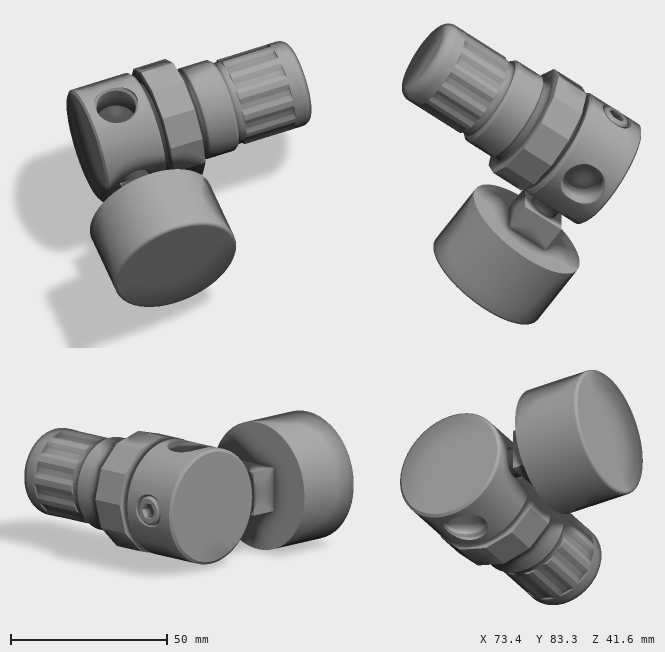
import cadquery as cq
import math


CUTTER_CLEARANCE = 0.8

HOUSING_RADIUS = 18.8
HOUSING_BOTTOM = -10.2
HOUSING_TOP = 10.3
HOUSING_CHAMFER_RADIAL = 0.9
BOTTOM_CHAMFER_LENGTH = 0.7
TOP_CHAMFER_LENGTH = 1.0
NECK_RADIUS = 14.7

FLOW_PORT_RADIUS = 6.3
FLOW_PORT_MOUTH_RADIUS = 7.1
FLOW_PORT_SEAT_TOP = 17.75
SIDE_PORT_RADIUS = 4.7
SIDE_PORT_MOUTH_RADIUS = 5.6
SIDE_PORT_SEAT_TOP = 18.3
PORT_SEAT_LENGTH = 0.8
PORT_DEPTH = 10.0
PORT_FLOOR = HOUSING_RADIUS - PORT_DEPTH

PLUG_CHAMFER = 0.7
PLUG_HEX_SIDES = 6
PLUG_HEX_FLATS = 4.8
PLUG_HEX_DEPTH = 3.3

NUT_SIDES = 12
NUT_CORNER_RADIUS = 19.4
NUT_BOTTOM = 12.3
NUT_TOP = 23.25

COLLAR_RADIUS = 15.2
COLLAR_CHAMFER_RADIAL = 0.8
COLLAR_TOP_CHAMFER_LENGTH = 1.0
COLLAR_BOTTOM_CHAMFER_LENGTH = 0.7
WAIST_RADIUS = 14.25
WAIST_FILLET = 1.25
COLLAR_BOTTOM = 25.7
COLLAR_TOP = 36.6
SPIGOT_RADIUS = 13.6

KNOB_RADIUS = 14.2
KNOB_BOTTOM = 39.2
KNOB_TOP = 62.5
KNOB_ROUNDING = 3.25
GRIP_COUNT = 12
GRIP_TOP = 56.1
GRIP_FLOOR_RADIUS = 13.4
GRIP_FLOOR_HALF_WIDTH = 0.9
GRIP_HALF_ANGLE = 11.0

GAUGE_RADIUS = 20.8
GAUGE_BACK = 31.1
GAUGE_FACE = 54.0
GAUGE_ROUNDING = 1.0
WRENCH_SQUARE = 14.2
WRENCH_START = 21.9


def revolve_about_y(half_profile):
    """Solid of revolution about Y from (radius, y) points; the axis closes the outline."""
    return cq.Workplane("XY").polyline(half_profile).close().revolve(360, (0, 0, 0), (0, 1, 0))


def port_cutter(radius, mouth_radius, seat_top):
    """Blind round port along +Z: straight mouth, conical seat, then the bore."""
    cutter_top = HOUSING_RADIUS + CUTTER_CLEARANCE
    half_profile = [
        (0, PORT_FLOOR),
        (radius, PORT_FLOOR),
        (radius, seat_top - PORT_SEAT_LENGTH),
        (mouth_radius, seat_top),
        (mouth_radius, cutter_top),
        (0, cutter_top),
    ]
    return revolve_about_y(half_profile).rotate((0, 0, 0), (1, 0, 0), 90)


def make_housing():
    chamfered_radius = HOUSING_RADIUS - HOUSING_CHAMFER_RADIAL
    housing = revolve_about_y([
        (0, HOUSING_BOTTOM),
        (chamfered_radius, HOUSING_BOTTOM),
        (HOUSING_RADIUS, HOUSING_BOTTOM + BOTTOM_CHAMFER_LENGTH),
        (HOUSING_RADIUS, HOUSING_TOP - TOP_CHAMFER_LENGTH),
        (chamfered_radius, HOUSING_TOP),
        (NECK_RADIUS, HOUSING_TOP),
        (NECK_RADIUS, NUT_TOP),
        (0, NUT_TOP),
    ])
    flow_port = port_cutter(FLOW_PORT_RADIUS, FLOW_PORT_MOUTH_RADIUS, FLOW_PORT_SEAT_TOP)
    side_port = port_cutter(SIDE_PORT_RADIUS, SIDE_PORT_MOUTH_RADIUS, SIDE_PORT_SEAT_TOP)
    for tilt in (0, 180):
        housing = housing.cut(flow_port.rotate((0, 0, 0), (0, 1, 0), tilt))
    for tilt in (90, 270):
        housing = housing.cut(side_port.rotate((0, 0, 0), (0, 1, 0), tilt))
    return housing


def make_plug():
    """Threaded plug with a hexagon socket, filling the -X side port."""
    outer_face = -HOUSING_RADIUS
    length = -PORT_FLOOR - outer_face
    hex_corners = PLUG_HEX_FLATS / math.cos(math.pi / PLUG_HEX_SIDES)
    face_plane = cq.Workplane("YZ", origin=(outer_face, 0, 0))
    plug = face_plane.circle(SIDE_PORT_RADIUS).extrude(length)
    plug = plug.faces("<X").chamfer(PLUG_CHAMFER)
    socket = face_plane.polygon(PLUG_HEX_SIDES, hex_corners).extrude(PLUG_HEX_DEPTH)
    return plug.cut(socket)


def make_nut():
    return (
        cq.Workplane("XZ", origin=(0, NUT_TOP, 0))
        .polygon(NUT_SIDES, 2 * NUT_CORNER_RADIUS)
        .circle(NECK_RADIUS)
        .extrude(NUT_TOP - NUT_BOTTOM)
    )


def make_bonnet():
    """Collar whose waist widens downward in a concave quarter arc that ends on the nut."""
    foot_radius = WAIST_RADIUS + WAIST_FILLET
    arc_top = NUT_TOP + WAIST_FILLET
    arc_middle = (
        foot_radius - WAIST_FILLET * math.cos(math.pi / 4),
        arc_top - WAIST_FILLET * math.sin(math.pi / 4),
    )
    return (
        cq.Workplane("XY")
        .moveTo(0, NUT_TOP)
        .lineTo(foot_radius, NUT_TOP)
        .threePointArc(arc_middle, (WAIST_RADIUS, arc_top))
        .lineTo(WAIST_RADIUS, COLLAR_BOTTOM)
        .lineTo(COLLAR_RADIUS, COLLAR_BOTTOM + COLLAR_BOTTOM_CHAMFER_LENGTH)
        .lineTo(COLLAR_RADIUS, COLLAR_TOP - COLLAR_TOP_CHAMFER_LENGTH)
        .lineTo(COLLAR_RADIUS - COLLAR_CHAMFER_RADIAL, COLLAR_TOP)
        .lineTo(SPIGOT_RADIUS, COLLAR_TOP)
        .lineTo(SPIGOT_RADIUS, KNOB_BOTTOM)
        .lineTo(0, KNOB_BOTTOM)
        .close()
        .revolve(360, (0, 0, 0), (0, 1, 0))
    )


def grip_groove():
    """Flared groove centred on +X, running from the knob's lower edge up to the smooth band."""
    edge_angle = math.radians(GRIP_HALF_ANGLE)
    edge_x = KNOB_RADIUS * math.cos(edge_angle)
    groove_mouth_x = KNOB_RADIUS + CUTTER_CLEARANCE
    edge_half_width = KNOB_RADIUS * math.sin(edge_angle)
    return (
        cq.Workplane("XZ", origin=(0, GRIP_TOP, 0))
        .moveTo(GRIP_FLOOR_RADIUS, -GRIP_FLOOR_HALF_WIDTH)
        .lineTo(edge_x, -edge_half_width)
        .lineTo(groove_mouth_x, -edge_half_width)
        .lineTo(groove_mouth_x, edge_half_width)
        .lineTo(edge_x, edge_half_width)
        .lineTo(GRIP_FLOOR_RADIUS, GRIP_FLOOR_HALF_WIDTH)
        .close()
        .extrude(GRIP_TOP - KNOB_BOTTOM)
    )


def make_knob():
    knob = cq.Workplane("XZ", origin=(0, KNOB_TOP, 0)).circle(KNOB_RADIUS).extrude(KNOB_TOP - KNOB_BOTTOM)
    knob = knob.faces(">Y").edges().fillet(KNOB_ROUNDING)
    groove = grip_groove()
    pitch = 360 / GRIP_COUNT
    for index in range(GRIP_COUNT):
        knob = knob.cut(groove.rotate((0, 0, 0), (0, 1, 0), (index + 0.5) * pitch))
    return knob


def make_gauge():
    case = cq.Workplane("YZ", origin=(GAUGE_BACK, 0, 0)).circle(GAUGE_RADIUS).extrude(GAUGE_FACE - GAUGE_BACK)
    case = case.faces(">X").edges().fillet(GAUGE_ROUNDING)
    wrench_block = (
        cq.Workplane("YZ", origin=(WRENCH_START, 0, 0))
        .rect(WRENCH_SQUARE, WRENCH_SQUARE)
        .extrude(GAUGE_BACK - WRENCH_START)
    )
    stem = (
        cq.Workplane("YZ", origin=(PORT_FLOOR, 0, 0))
        .circle(SIDE_PORT_RADIUS)
        .extrude(WRENCH_START - PORT_FLOOR)
    )
    return case.union(wrench_block).union(stem)


housing = make_housing()
plug = make_plug()
nut = make_nut()
bonnet = make_bonnet()
knob = make_knob()
gauge = make_gauge()

result = cq.Compound.makeCompound(
    [housing.val(), plug.val(), nut.val(), bonnet.val(), knob.val(), gauge.val()]
)